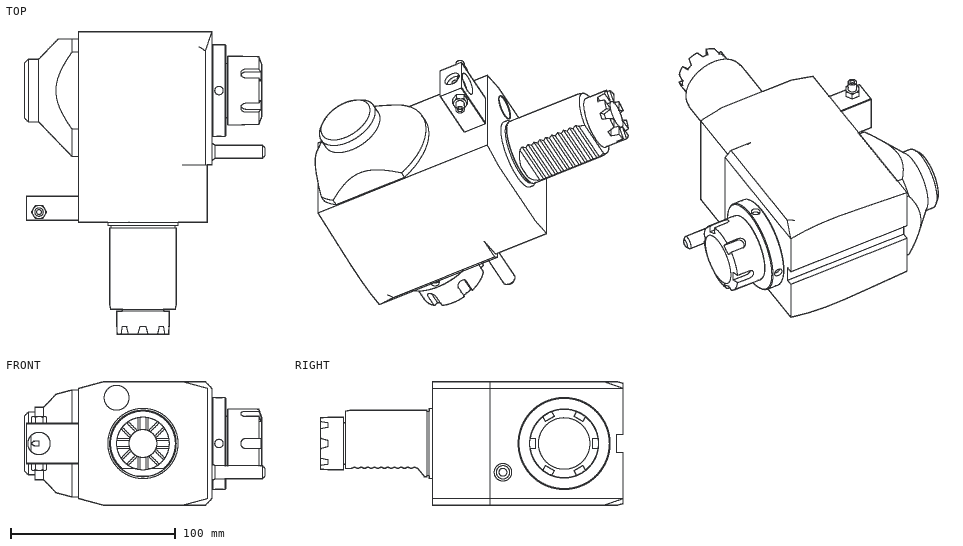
import cadquery as cq
import math


body_length = 116.0
body_half_width = 39.2
spindle_face_x = 42.0
body_half_height = 37.5
edge_drop = 4.0
shallow_angle = math.radians(15)
shallow_run = edge_drop / math.tan(shallow_angle)
side_half_height = body_half_height - edge_drop
spindle_pad_start = 35.0
crown_shoulder_x = shallow_run - body_half_width
crown_shoulder_z = 34.5
crown_peak_x = 14.9
crown_peak_z = 36.6
key_slot_depth = 4.0
key_slot_width = 10.7
plug_x = -16.0
plug_z = 27.8
plug_radius = 7.5
plug_recess = 0.5

spindle_y = 80.0

cover_end_x = -72.0
cover_neck_x = -63.3
cover_cone_x = -43.0
cover_neck_radius = 19.1
cover_radius = 40.1
cover_chamfer = 2.4
cover_half_height = 32.5
cover_back_y = 111.5

flange_radius = 28.0
flange_end_x = 50.5
flange_chamfer = 0.5
screw_hole_radius = 2.5
screw_hole_depth = 2.8
screw_hole_x = 46.2
nut_gap_radius = 16.5
nut_start_x = 51.3
nut_band_x = 69.2
nut_band_radius = 20.8
nut_slope_x = 70.5
nut_end_x = 72.3
nut_radius = 21.0
nut_end_radius = 15.6
nut_slot_count = 6
nut_slot_width = 6.3
nut_slot_start_x = 59.5
nut_slot_floor = 17.3
nut_rim = 0.4

pin_y = 42.9
pin_z = -17.5
pin_radius = 4.0
pin_end_x = 74.2
pin_chamfer = 1.7
pin_base_radius = 5.3
pin_base_length = 1.8

bracket_end_x = -70.8
bracket_front_y = 1.1
bracket_back_y = 16.0
bracket_half_height = 12.3
bracket_chamfer = 0.4
nozzle_x = -63.1
nozzle_hole_radius = 6.8
nozzle_hole_depth = 3.7
inlet_y = 7.7
inlet_radius = 4.8
inlet_depth = 2.8
inlet_bore_radius = 1.5
fitting_y = 6.3
hex_across_flats = 8.0
hex_top_z = 16.4
hex_chamfer = 0.5
stem_radius = 2.5
stem_top_z = 22.0
stem_bore_radius = 1.5
stem_bore_depth = 1.8

collar_radius = 21.3
collar_length = 2.0
collar_round = 0.4
shank_radius = 20.2
shank_groove_radius = 19.5
shank_groove_length = 1.3
shank_length = 52.8
shank_taper_length = 2.8
shank_end_radius = 19.7

rack_z = -15.3
rack_ramp_start = 5.2
rack_ramp_end = 8.8
rack_ramp_z = -19.7
tooth_pitch = 4.0
tooth_depth = 1.0
tooth_count = 10

drive_neck_radius = 12.7
drive_gap = 1.1
drive_radius = 16.0
drive_end = 68.0
drive_core_radius = 8.5
drive_slot_count = 8
drive_slot_depth = 4.8
drive_slot_floor_width = 3.7
drive_slot_mouth_width = 6.3

drill_tip_slope = math.tan(math.radians(31))


def y_cylinder(radius, start, end, x=0, z=0):
    """Cylinder along Y between two Y positions."""
    return cq.Workplane("XZ", origin=(x, start, z)).circle(radius).extrude(start - end)


def x_cylinder(radius, start, end, y=spindle_y, z=0):
    """Cylinder along X between two X positions."""
    return cq.Workplane("YZ", origin=(start, y, z)).circle(radius).extrude(end - start)


def x_turned(profile, y=spindle_y, z=0):
    """Solid turned about an X-parallel axis from (x, radius) points."""
    return cq.Workplane("XY", origin=(0, y, z)).polyline(profile).close().revolve(360, (0, 0), (1, 0))


def y_turned(profile):
    """Solid turned about the Y axis from (radius, y) points."""
    return cq.Workplane("XY").polyline(profile).close().revolve(360, (0, 0), (0, 1))


def drilled_hole(position, direction, radius, depth):
    """Blind drilled hole with a conical tip."""
    start = cq.Vector(*position)
    axis = cq.Vector(*direction)
    tip_length = radius * drill_tip_slope
    shaft = cq.Solid.makeCylinder(radius, depth, start, axis)
    tip = cq.Solid.makeCone(radius, 0, tip_length, start + axis * depth, axis)
    return cq.Workplane(shaft).union(cq.Workplane(tip))


def body_section(right_x, right_run):
    """Housing cross-section with sloped corners on both sides."""
    upper = [
        (-body_half_width, side_half_height),
        (-body_half_width + shallow_run, body_half_height),
        (right_x - right_run, body_half_height),
        (right_x, side_half_height),
    ]
    lower = [(x, -z) for x, z in reversed(upper)]
    return cq.Workplane("XZ").polyline(upper + lower).close()


def crown_wire(y):
    """Arched cross-section of the back end at a given Y; it grows forwards at the shallow angle."""
    rise = (body_length - y) * math.tan(shallow_angle)
    arch = [
        (-body_half_width, side_half_height + rise),
        (crown_shoulder_x, crown_shoulder_z + rise),
        (crown_peak_x, crown_peak_z + rise),
        (spindle_face_x, side_half_height + rise),
    ]
    mirrored_arch = [(x, -z) for x, z in reversed(arch)]
    return (
        cq.Workplane("XZ", origin=(0, y, 0))
        .moveTo(*arch[0])
        .spline(arch[1:], includeCurrent=True)
        .lineTo(*mirrored_arch[0])
        .spline(mirrored_arch[1:], includeCurrent=True)
        .close()
        .val()
    )


def make_body():
    front = body_section(body_half_width, shallow_run).extrude(-body_length)
    pad = body_section(spindle_face_x, edge_drop).extrude(spindle_pad_start - body_length)
    body = front.union(pad.translate((0, spindle_pad_start, 0)))

    crown = cq.Solid.makeLoft([crown_wire(body_length), crown_wire(0)], True)
    body = body.intersect(cq.Workplane(crown))

    key_slot = cq.Workplane("XY").box(4 * body_half_width, 2 * key_slot_depth, key_slot_width)
    key_slot = key_slot.translate((0, body_length, 0))
    plug = y_cylinder(plug_radius, 0, plug_recess, plug_x, plug_z)
    return body.cut(key_slot).cut(plug)


def make_cover():
    cover = x_turned([
        (cover_end_x, 0),
        (cover_end_x, cover_neck_radius - cover_chamfer),
        (cover_end_x + cover_chamfer, cover_neck_radius),
        (cover_neck_x, cover_neck_radius),
        (cover_cone_x, cover_radius),
        (-body_half_width, cover_radius),
        (-body_half_width, 0),
    ])
    slope_drop = (cover_cone_x - cover_end_x) * math.tan(shallow_angle)
    upper = [
        (-body_half_width, cover_half_height),
        (cover_cone_x, cover_half_height),
        (cover_end_x, cover_half_height - slope_drop),
    ]
    lower = [(x, -z) for x, z in reversed(upper)]
    envelope = cq.Workplane("XZ", origin=(0, cover_back_y, 0)).polyline(upper + lower).close()
    return cover.intersect(envelope.extrude(cover_back_y))


def make_collet_nut():
    flange = x_cylinder(flange_radius, spindle_face_x, flange_end_x).edges().chamfer(flange_chamfer)
    for side_y, side_z in ((0, 1), (0, -1), (1, 0), (-1, 0)):
        position = (screw_hole_x, spindle_y + side_y * flange_radius, side_z * flange_radius)
        inward = (0, -side_y, -side_z)
        flange = flange.cut(drilled_hole(position, inward, screw_hole_radius, screw_hole_depth))

    gap = x_cylinder(nut_gap_radius, flange_end_x, nut_start_x)
    nut = x_turned([
        (nut_start_x, 0),
        (nut_start_x, nut_radius - nut_rim),
        (nut_start_x + nut_rim, nut_radius),
        (nut_band_x, nut_radius),
        (nut_slope_x, nut_band_radius),
        (nut_end_x, nut_end_radius),
        (nut_end_x, 0),
    ])
    slot_length = 2 * (nut_end_x - nut_slot_start_x)
    slot = (
        cq.Workplane("XZ", origin=(nut_slot_start_x + slot_length / 2, spindle_y - nut_slot_floor, 0))
        .slot2D(slot_length, nut_slot_width)
        .extrude(nut_radius)
    )
    axis_start = (0, spindle_y, 0)
    axis_end = (1, spindle_y, 0)
    for index in range(nut_slot_count):
        nut = nut.cut(slot.rotate(axis_start, axis_end, index * 360 / nut_slot_count))
    return flange.union(gap).union(nut)


def make_pin():
    return x_turned([
        (spindle_face_x, 0),
        (spindle_face_x, pin_base_radius),
        (spindle_face_x + pin_base_length, pin_radius),
        (pin_end_x - pin_chamfer, pin_radius),
        (pin_end_x, pin_radius - pin_chamfer),
        (pin_end_x, 0),
    ], pin_y, pin_z)


def make_fitting():
    """Hexagon fitting with a drilled round stem, standing on top of the bracket."""
    hex_diameter = hex_across_flats / math.cos(math.pi / 6)
    base_z = bracket_half_height
    place = (nozzle_x, fitting_y, base_z)
    hexagon = cq.Workplane("XY", origin=place).polygon(6, hex_diameter).extrude(hex_top_z - base_z)
    rounding = (
        cq.Workplane("XY", origin=place).circle(hex_diameter / 2)
        .extrude(hex_top_z - base_z).faces(">Z").chamfer(hex_chamfer)
    )
    stem = cq.Workplane("XY", origin=place).circle(stem_radius).extrude(stem_top_z - base_z)
    bore = drilled_hole((nozzle_x, fitting_y, stem_top_z), (0, 0, -1), stem_bore_radius, stem_bore_depth)
    return hexagon.intersect(rounding).union(stem).cut(bore)


def make_bracket():
    block = cq.Workplane("XY").box(
        -body_half_width - bracket_end_x,
        bracket_back_y - bracket_front_y,
        2 * bracket_half_height,
    ).edges("|X").chamfer(bracket_chamfer)
    block = block.translate(
        ((bracket_end_x - body_half_width) / 2, (bracket_front_y + bracket_back_y) / 2, 0))
    nozzle = drilled_hole((nozzle_x, bracket_front_y, 0), (0, 1, 0), nozzle_hole_radius, nozzle_hole_depth)
    inlet_end = bracket_end_x + inlet_depth
    inlet = x_cylinder(inlet_radius, bracket_end_x, inlet_end, inlet_y)
    inlet_bore = x_cylinder(inlet_bore_radius, inlet_end, nozzle_x, inlet_y)
    fitting = make_fitting()
    block = block.cut(nozzle).cut(inlet).cut(inlet_bore)
    return block.union(fitting).union(fitting.mirror("XY"))


def make_shank():
    groove_end = collar_length + shank_groove_length
    shank = y_turned([
        (0, 0),
        (shank_groove_radius, 0),
        (shank_groove_radius, -groove_end),
        (shank_radius, -groove_end),
        (shank_radius, shank_taper_length - shank_length),
        (shank_end_radius, -shank_length),
        (0, -shank_length),
    ])

    below_z = -2 * shank_radius
    outline = [(-rack_ramp_start, below_z), (-rack_ramp_start, rack_ramp_z), (-rack_ramp_end, rack_z)]
    for index in range(tooth_count):
        gap_start = rack_ramp_end + index * tooth_pitch
        outline.append((-gap_start - tooth_pitch / 2, rack_z + tooth_depth))
        outline.append((-gap_start - tooth_pitch, rack_z))
    outline += [(-shank_length, rack_z), (-shank_length, below_z)]
    rack = cq.Workplane("YZ").polyline(outline).close().extrude(shank_radius, both=True)

    collar = y_cylinder(collar_radius, 0, -collar_length).faces("<Y").edges().fillet(collar_round)
    return shank.cut(rack).union(collar)


def make_drive_nut():
    nut_start = shank_length + drive_gap
    neck = y_cylinder(drive_neck_radius, -shank_length, -nut_start)
    nut = y_cylinder(drive_radius, -nut_start, -drive_end)
    floor_y = drive_slot_depth - drive_end
    slot = (
        cq.Workplane("XY")
        .polyline([
            (-drive_slot_floor_width / 2, floor_y),
            (drive_slot_floor_width / 2, floor_y),
            (drive_slot_mouth_width / 2, -drive_end),
            (-drive_slot_mouth_width / 2, -drive_end),
        ])
        .close()
        .extrude(2 * drive_radius)
    )
    for index in range(drive_slot_count):
        nut = nut.cut(slot.rotate((0, 0, 0), (0, 1, 0), index * 360 / drive_slot_count))
    core = y_cylinder(drive_core_radius, floor_y, -drive_end)
    return neck.union(nut).union(core)


result = make_body()
for make_component in (make_cover, make_collet_nut, make_pin, make_bracket, make_shank, make_drive_nut):
    result = result.union(make_component())